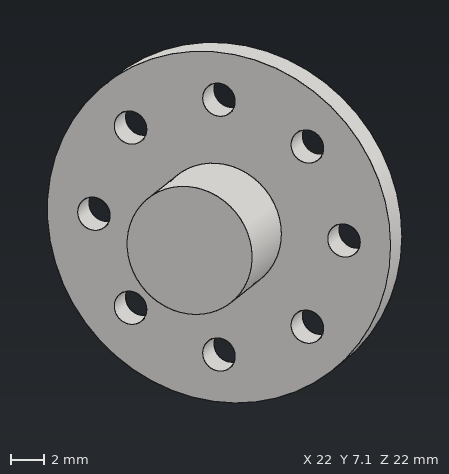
import cadquery as cq

flange_diameter = 22.0
flange_thickness = 2.0
total_depth = 7.1
boss_diameter = 8.0
hole_diameter = 2.07
hole_count = 8
hole_circle_diameter = 16.02

boss_length = total_depth - flange_thickness

flange = cq.Workplane("XZ").circle(flange_diameter / 2).extrude(-flange_thickness)
boss = cq.Workplane("XZ").circle(boss_diameter / 2).extrude(boss_length)

holes = (
    cq.Workplane("XZ")
    .polarArray(hole_circle_diameter / 2, 0, 360, hole_count)
    .circle(hole_diameter / 2)
    .extrude(-flange_thickness)
)

result = flange.union(boss).cut(holes)